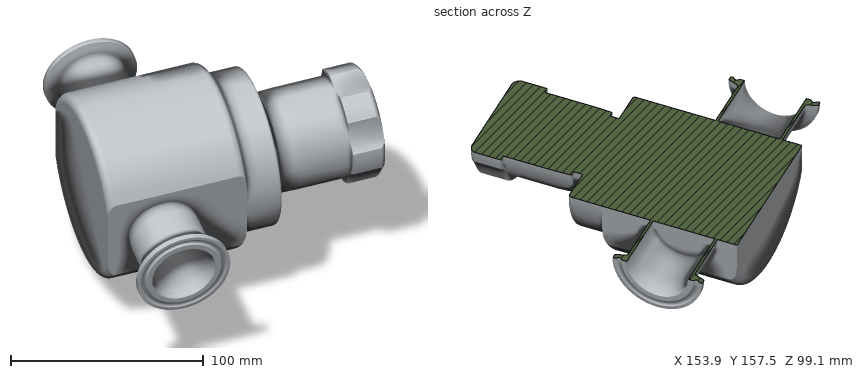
import cadquery as cq
import math

OVERALL_LENGTH = 157.48
PORT_SPAN = 153.92

BODY_DIAMETER = 99.06
BODY_LENGTH = 76.2
BODY_FLAT_WIDTH = 85.09
BODY_EDGE_RADIUS = 4.4
PORT_TO_BODY_FRONT = 30.1

CAP_DIAMETER = BODY_FLAT_WIDTH
CAP_LENGTH = 19.45
CAP_EDGE_RADIUS = 1.4

NECK_DIAMETER = 47.8
NECK_FLAT_WIDTH = 25.4
NECK_LENGTH = 4.85

BARREL_DIAMETER = 54.4
BARREL_END_DIAMETER = 53.5
BARREL_TAPER_LENGTH = 10.9

KNOB_DIAMETER = 61.0
KNOB_LENGTH = 18.6
KNOB_TOP_DIAMETER = 51.0
KNOB_DOME_HEIGHT = 3.0
SCOOP_COUNT = 6
SCOOP_WIDTH = 17.2

TUBE_DIAMETER = 38.1
BORE_DIAMETER = 34.8
FLANGE_DIAMETER = 50.8
FLANGE_RIM_WIDTH = 2.85
FLANGE_TAPER_ANGLE = 20.0
FLANGE_BLEND_RADIUS = 1.3
GROOVE_CENTER_DIAMETER = 43.9
GROOVE_WIDTH = 2.9
GROOVE_DEPTH = 1.2
GROOVE_LIP_RADIUS = 0.4

body_front = -PORT_TO_BODY_FRONT
body_back = body_front + BODY_LENGTH
cap_back = body_back + CAP_LENGTH
barrel_start = cap_back + NECK_LENGTH
knob_back = body_front + OVERALL_LENGTH
knob_start = knob_back - KNOB_LENGTH


def disc(start, end, diameter):
    """Cylinder on the valve axis between two Y stations."""
    plane = cq.Plane(origin=(0, start, 0), xDir=(1, 0, 0), normal=(0, 1, 0))
    return cq.Workplane(plane).circle(diameter / 2).extrude(end - start)


def flatted(solid, width, axis):
    """Trim a solid to a width centred on the valve axis, across X or Z."""
    reach = 2 * OVERALL_LENGTH
    size = (width, reach, reach) if axis == "X" else (reach, reach, width)
    return solid.intersect(cq.Workplane("XY").box(*size))


def make_body():
    block = disc(body_front, body_back, BODY_DIAMETER).edges().fillet(BODY_EDGE_RADIUS)
    return flatted(block, BODY_FLAT_WIDTH, "X")


def make_cap():
    return disc(body_back, cap_back, CAP_DIAMETER).faces(">Y").edges().fillet(CAP_EDGE_RADIUS)


def make_neck():
    return flatted(disc(cap_back, barrel_start, NECK_DIAMETER), NECK_FLAT_WIDTH, "Z")


def make_barrel():
    """Barrel whose lower end curves gently inwards, tangent to the cylinder."""
    radius = BARREL_DIAMETER / 2
    taper_end = barrel_start + BARREL_TAPER_LENGTH
    profile = (
        cq.Workplane("XY")
        .moveTo(0, barrel_start)
        .lineTo(0, knob_start)
        .lineTo(radius, knob_start)
        .lineTo(radius, taper_end)
        .tangentArcPoint((BARREL_END_DIAMETER / 2, barrel_start), relative=False)
        .close()
    )
    return profile.revolve(360, (0, 0, 0), (0, 1, 0))


def make_knob():
    """Domed knob with scoops that reach in to the barrel surface."""
    radius = KNOB_DIAMETER / 2
    knob = (
        cq.Workplane("XY")
        .moveTo(0, knob_start)
        .lineTo(0, knob_back)
        .lineTo(KNOB_TOP_DIAMETER / 2, knob_back)
        .tangentArcPoint((radius, knob_back - KNOB_DOME_HEIGHT), relative=False)
        .lineTo(radius, knob_start)
        .close()
        .revolve(360, (0, 0, 0), (0, 1, 0))
    )
    half_width = SCOOP_WIDTH / 2
    sagitta = math.sqrt(radius**2 - half_width**2) - BARREL_DIAMETER / 2
    scoop_radius = (half_width**2 + sagitta**2) / (2 * sagitta)
    scoop_offset = BARREL_DIAMETER / 2 + scoop_radius
    scoop = disc(knob_start, knob_back, 2 * scoop_radius).translate((0, 0, scoop_offset))
    for index in range(SCOOP_COUNT):
        knob = knob.cut(scoop.rotate((0, 0, 0), (0, 1, 0), index * 360 / SCOOP_COUNT))
    return knob


def make_ferrule():
    """Clamp ferrule on +X: tube, flared flange, blind bore and gasket groove."""
    face = PORT_SPAN / 2
    root = BODY_FLAT_WIDTH / 2
    tube_radius = TUBE_DIAMETER / 2
    flange_radius = FLANGE_DIAMETER / 2
    taper = math.radians(FLANGE_TAPER_ANGLE)
    rim_back = face - FLANGE_RIM_WIDTH
    arc_radial = FLANGE_BLEND_RADIUS * (1 - math.sin(taper))
    arc_axial = FLANGE_BLEND_RADIUS * math.cos(taper)
    arc_top_radius = tube_radius + arc_radial
    arc_top = rim_back - (flange_radius - arc_top_radius) * math.tan(taper)
    ferrule = (
        cq.Workplane("XY")
        .moveTo(root, BORE_DIAMETER / 2)
        .lineTo(root, tube_radius)
        .lineTo(arc_top - arc_axial, tube_radius)
        .tangentArcPoint((arc_top, arc_top_radius), relative=False)
        .lineTo(rim_back, flange_radius)
        .lineTo(face, flange_radius)
        .lineTo(face, BORE_DIAMETER / 2)
        .close()
        .revolve(360, (0, 0, 0), (1, 0, 0))
    )
    groove_inner = (GROOVE_CENTER_DIAMETER - GROOVE_WIDTH) / 2
    groove_outer = groove_inner + GROOVE_WIDTH
    groove = (
        cq.Workplane("XY")
        .moveTo(face, groove_inner)
        .threePointArc((face - GROOVE_DEPTH, GROOVE_CENTER_DIAMETER / 2), (face, groove_outer))
        .close()
        .revolve(360, (0, 0, 0), (1, 0, 0))
    )
    grooved = ferrule.cut(groove)
    inner_lip = grooved.edges(">X").edges(cq.selectors.RadiusNthSelector(1))
    outer_lip = grooved.edges(">X").edges(cq.selectors.RadiusNthSelector(2))
    return inner_lip.add(outer_lip).fillet(GROOVE_LIP_RADIUS)


right_ferrule = make_ferrule()
left_ferrule = right_ferrule.mirror("YZ")
result = (
    make_body()
    .union(make_cap())
    .union(make_neck())
    .union(make_barrel())
    .union(make_knob())
    .union(right_ferrule)
    .union(left_ferrule)
)